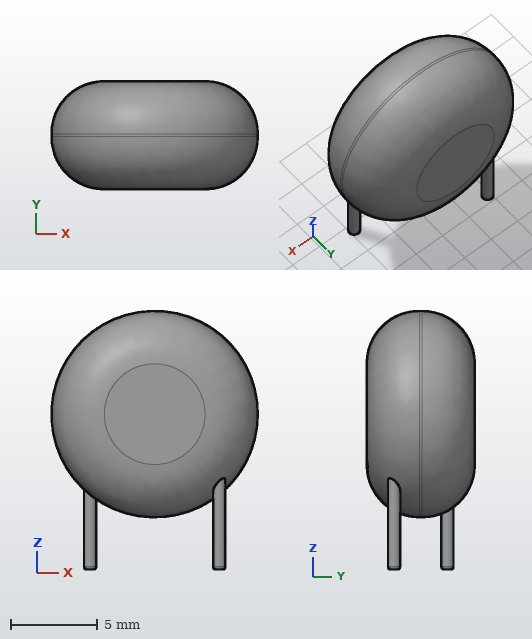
import cadquery as cq

body_diameter = 12.0
body_thickness = 6.3
rim_band_width = 0.15
edge_radius = (body_thickness - rim_band_width) / 2

lead_diameter = 0.72
lead_pitch_x = 7.5
lead_pitch_y = 3.1
lead_tip_radius = 0.18

body_clearance = 0.03
lead_length_below = 3.0
body_center_z = body_clearance + body_diameter / 2


def make_body():
    """Disc with fully rounded edges, centred on the Y = 0 plane."""
    return (
        cq.Workplane("XZ", origin=(0, body_thickness / 2, body_center_z))
        .circle(body_diameter / 2)
        .extrude(body_thickness)
        .edges()
        .fillet(edge_radius)
    )


def make_lead(x, y):
    """Round lead from inside the disc down to its rounded tip."""
    return (
        cq.Workplane("XY", origin=(x, y, -lead_length_below))
        .circle(lead_diameter / 2)
        .extrude(lead_length_below + body_center_z)
        .faces("<Z")
        .edges()
        .fillet(lead_tip_radius)
    )


result = make_body()
for side in (-1, 1):
    lead = make_lead(side * lead_pitch_x / 2, -side * lead_pitch_y / 2)
    result = result.union(lead)